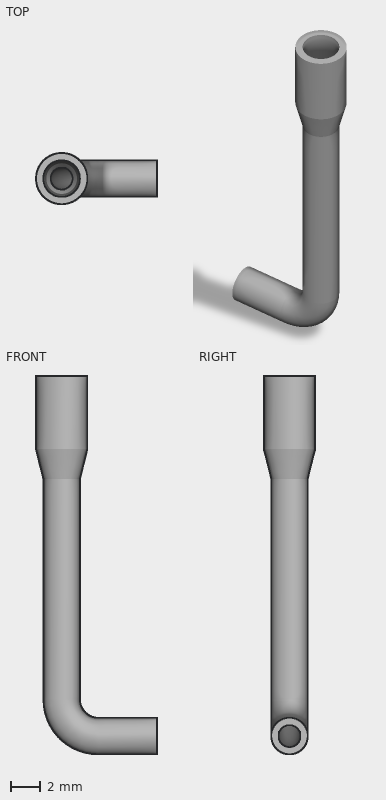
import cadquery as cq

height = 25.75
length = 8.25

socket_diameter = 3.5
tube_diameter = 2.5
tube_bore_diameter = 1.5
socket_bore_diameter = tube_diameter

socket_depth = 5.0
taper_height = 2.0
bend_radius = 2.5

top_z = height - tube_diameter / 2
socket_base_z = top_z - socket_depth
taper_base_z = socket_base_z - taper_height
outlet_x = length - socket_diameter / 2


def bent_rod(diameter):
    """Solid rod running down from the taper, round the bend and out along +X."""
    centre_line = (
        cq.Workplane("XZ")
        .moveTo(0, taper_base_z)
        .lineTo(0, bend_radius)
        .radiusArc((bend_radius, 0), -bend_radius)
        .lineTo(outlet_x, 0)
    )
    return cq.Workplane("XY", origin=(0, 0, taper_base_z)).circle(diameter / 2).sweep(centre_line)


def socket_form(wide_diameter, narrow_diameter):
    """Solid cylinder at the top that tapers down to the narrow diameter."""
    return (
        cq.Workplane("XZ")
        .moveTo(0, top_z)
        .lineTo(wide_diameter / 2, top_z)
        .lineTo(wide_diameter / 2, socket_base_z)
        .lineTo(narrow_diameter / 2, taper_base_z)
        .lineTo(0, taper_base_z)
        .close()
        .revolve(360, (0, 0, 0), (0, 1, 0))
    )


outside = bent_rod(tube_diameter).union(socket_form(socket_diameter, tube_diameter))
passage = bent_rod(tube_bore_diameter).union(socket_form(socket_bore_diameter, tube_bore_diameter))
result = outside.cut(passage)